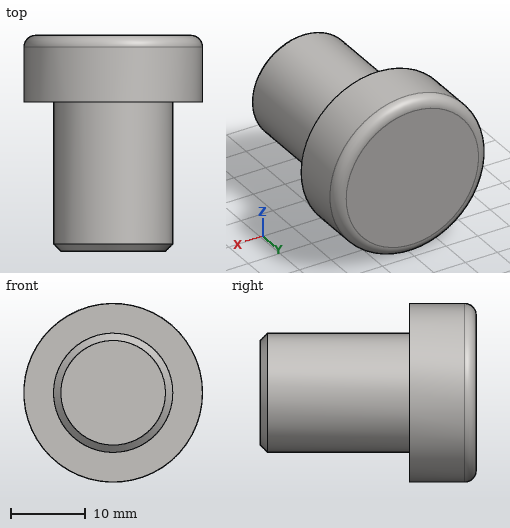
import cadquery as cq

total_length = 29.0
head_diameter = 24.0
head_length = 9.0
head_rounding = 1.6
shank_diameter = 16.0
tip_chamfer = 1.0

shank_length = total_length - head_length


def cylinder_along_y(diameter, start_y, length):
    """Solid cylinder on the Y axis, growing toward +Y from start_y."""
    base_plane = cq.Plane(origin=(0, start_y, 0), xDir=(1, 0, 0), normal=(0, 1, 0))
    return cq.Workplane(base_plane).circle(diameter / 2).extrude(length)


head = cylinder_along_y(head_diameter, 0, head_length)
head = head.faces(">Y").edges().fillet(head_rounding)

shank = cylinder_along_y(shank_diameter, -shank_length, shank_length)
shank = shank.faces("<Y").edges().chamfer(tip_chamfer)

result = head.union(shank)